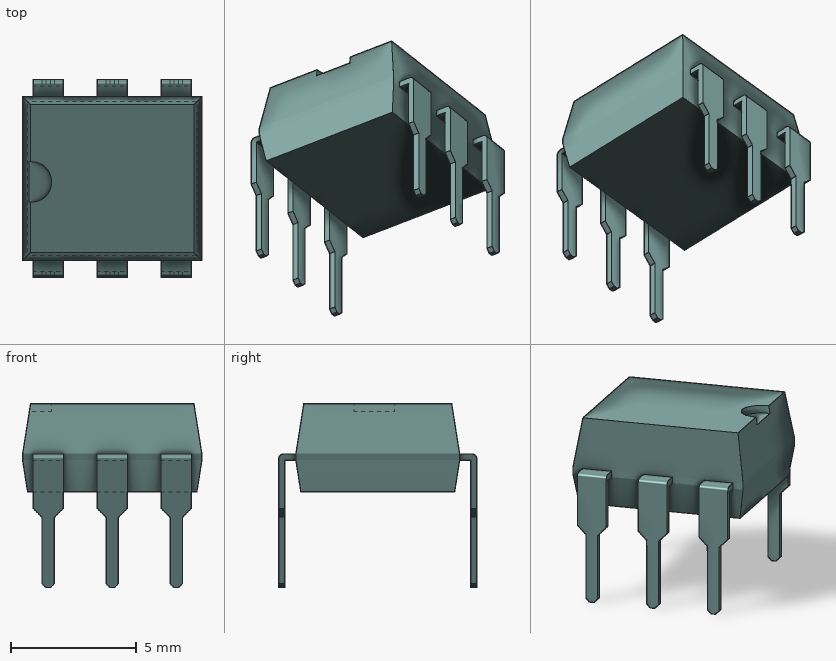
import cadquery as cq


BODY_LENGTH = 7.12
BODY_WIDTH = 6.51
UPPER_HEIGHT = 2.0
LOWER_HEIGHT = 1.25
DRAFT_ANGLE = 9.0

NOTCH_RADIUS = 0.8
NOTCH_DEPTH = 0.315
NOTCH_INSET = 0.355
NOTCH_Y = -0.13

LEADS_PER_SIDE = 3
LEAD_PITCH = 2.54
LEAD_THICKNESS = 0.25
LEAD_SPAN = 7.87
LEAD_DROP = 5.305
SHOULDER_WIDTH = 1.205
SHOULDER_DROP = 2.16
LEG_WIDTH = 0.495
TIP_CHAMFER = 0.16
BEND_RADIUS = 0.2

BAND_TOP = LEAD_THICKNESS
BODY_TOP = BAND_TOP + UPPER_HEIGHT


def make_notch():
    """Cutter open towards -X, with a half-round end towards +X."""
    open_x = -BODY_LENGTH / 2
    round_x = open_x + NOTCH_INSET
    return (
        cq.Workplane("XY", origin=(0, NOTCH_Y, BODY_TOP))
        .moveTo(open_x, -NOTCH_RADIUS)
        .lineTo(round_x, -NOTCH_RADIUS)
        .threePointArc((round_x + NOTCH_RADIUS, 0), (round_x, NOTCH_RADIUS))
        .lineTo(open_x, NOTCH_RADIUS)
        .close()
        .extrude(-NOTCH_DEPTH)
    )


def make_housing():
    def band_outline(height):
        return cq.Workplane("XY", origin=(0, 0, height)).rect(BODY_LENGTH, BODY_WIDTH)

    band = band_outline(0).extrude(BAND_TOP)
    upper = band_outline(BAND_TOP).extrude(UPPER_HEIGHT, taper=DRAFT_ANGLE)
    lower = band_outline(0).extrude(-LOWER_HEIGHT, taper=DRAFT_ANGLE)
    return band.union(upper).union(lower).cut(make_notch())


def make_lead():
    """One lead on the -Y side, centred on X = 0: an L-shaped strip trimmed to the lead's front outline."""
    outer_y = -LEAD_SPAN / 2
    inner_y = outer_y + LEAD_THICKNESS
    root_y = -BODY_WIDTH / 2
    tip_z = BAND_TOP - LEAD_DROP
    strip = (
        cq.Workplane("YZ", origin=(-SHOULDER_WIDTH / 2, 0, 0))
        .moveTo(root_y, BAND_TOP)
        .lineTo(outer_y + BEND_RADIUS, BAND_TOP)
        .radiusArc((outer_y, BAND_TOP - BEND_RADIUS), -BEND_RADIUS)
        .lineTo(outer_y, tip_z)
        .lineTo(inner_y, tip_z)
        .lineTo(inner_y, 0)
        .lineTo(root_y, 0)
        .close()
        .extrude(SHOULDER_WIDTH)
    )

    shoulder_x = SHOULDER_WIDTH / 2
    leg_x = LEG_WIDTH / 2
    neck_top = BAND_TOP - SHOULDER_DROP
    neck_bottom = neck_top - (shoulder_x - leg_x)
    outline = (
        cq.Workplane("XZ", origin=(0, root_y, 0))
        .moveTo(-shoulder_x, BAND_TOP)
        .lineTo(shoulder_x, BAND_TOP)
        .lineTo(shoulder_x, neck_top)
        .lineTo(leg_x, neck_bottom)
        .lineTo(leg_x, tip_z + TIP_CHAMFER)
        .lineTo(leg_x - TIP_CHAMFER, tip_z)
        .lineTo(TIP_CHAMFER - leg_x, tip_z)
        .lineTo(-leg_x, tip_z + TIP_CHAMFER)
        .lineTo(-leg_x, neck_bottom)
        .lineTo(-shoulder_x, neck_top)
        .close()
        .extrude(root_y - outer_y)
    )
    return strip.intersect(outline)


housing = make_housing()

leads = []
for index in range(LEADS_PER_SIDE):
    lead_x = (index - (LEADS_PER_SIDE - 1) / 2) * LEAD_PITCH
    front_lead = make_lead().translate((lead_x, 0, 0))
    leads.append(front_lead.val())
    leads.append(front_lead.mirror("XZ").val())

result = cq.Compound.makeCompound([housing.val(), *leads])